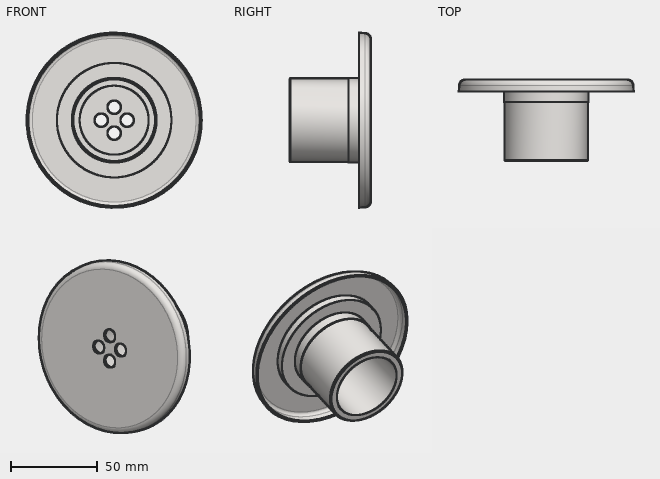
import cadquery as cq
import math

flange_diameter = 101.0
rim_depth = 7.0
rim_wall = 1.0
rim_draft_angle = 4.0
rim_back_radius = 3.7
plate_thickness = 1.5
recess_corner_radius = 2.0

hub_diameter = 66.1
hub_depth = 6.5
collar_diameter = 48.9
collar_depth = 13.0

tube_diameter = 48.4
tube_depth = 47.0
tube_end_chamfer = 0.6
bore_diameter = 39.8

hole_diameter = 7.6
hole_circle_radius = 7.5
hole_count = 4


def cylinder(diameter, start_depth, end_depth):
    """Cylinder about the Y axis between two depths in front of the back face."""
    return (
        cq.Workplane("XZ", origin=(0, -start_depth, 0))
        .circle(diameter / 2)
        .extrude(end_depth - start_depth)
    )


def drafted_disc(front_diameter, start_depth, corner_radius):
    """Disc reaching the rim front, tapering toward a rounded back edge."""
    height = rim_depth - start_depth
    back_radius = front_diameter / 2 - height * math.tan(math.radians(rim_draft_angle))
    disc = (
        cq.Workplane("XZ", origin=(0, -start_depth, 0))
        .circle(back_radius)
        .extrude(height, taper=-rim_draft_angle)
    )
    return disc.faces(">Y").edges().fillet(corner_radius)


def make_flange():
    """Round dish with a rounded back edge and a thin drafted rim around its front."""
    body = drafted_disc(flange_diameter, 0, rim_back_radius)
    recess = drafted_disc(flange_diameter - 2 * rim_wall, plate_thickness, recess_corner_radius)
    return body.cut(recess)


def make_tube():
    """Plain tube with a chamfered outer edge at its free end."""
    return cylinder(tube_diameter, 0, tube_depth).faces("<Y").edges().chamfer(tube_end_chamfer)


def make_drain_holes():
    """Ring of through holes in the floor of the bore."""
    return (
        cq.Workplane("XZ")
        .polarArray(hole_circle_radius, 0, 360, hole_count)
        .circle(hole_diameter / 2)
        .extrude(tube_depth)
    )


hub = cylinder(hub_diameter, 0, hub_depth)
collar = cylinder(collar_diameter, 0, collar_depth)
bore = cylinder(bore_diameter, plate_thickness, tube_depth)

result = make_flange().union(hub).union(collar).union(make_tube())
result = result.cut(bore).cut(make_drain_holes())